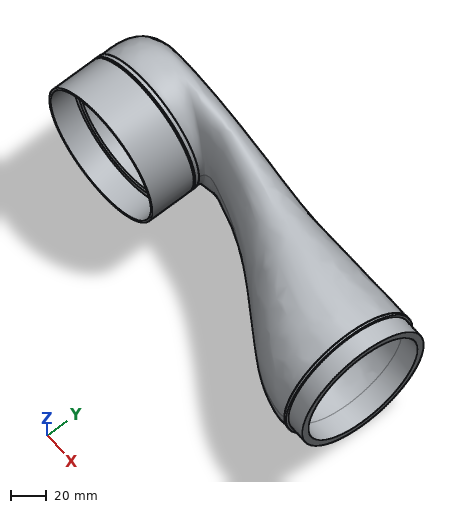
import cadquery as cq
import math


sleeve_radius = 46.0
sleeve_length = 30.2
socket_radius = 44.5
socket_depth = 16.5
bore_radius = 39.5
bore_chamfer = 1.0
bore_chamfer_angle = 45
groove_width = 1.0
groove_depth = 0.5
collar_length = 2.8

overall_length = 254
spigot_length = 12.2
spigot_radius = 44.2
ring_width = 1.8
ring_radius = 46.0
outlet_axis_y = 20.5

body_radius = 45.5
wall = body_radius - bore_radius

groove_end_y = sleeve_length + groove_width
body_start_y = groove_end_y + collar_length
outlet_end_x = overall_length - sleeve_radius
ring_end_x = outlet_end_x - spigot_length
ring_start_x = ring_end_x - ring_width

throat_rise = 8.5

inlet_section = ((body_radius, body_start_y), (-body_radius, body_start_y), body_radius)
bend_sections = [
    ((45.7, 36.0), (-44.5, 52.8), 45.0),
    ((46.2, 37.0), (-36.3, 64.5), 43.7),
    ((47.0, 37.8), (-10.2, 69.3), 43.0),
    ((48.3, 38.4), (20.3, 69.0), 41.1),
]
neck_sections = [
    ((54.5, 38.0), (54.5, 67.5), 38.4),
    ((76.2, 31.5), (76.2, 66.5), 36.5),
    ((101.5, 19.8), (101.5, 65.0), 36.5),
    ((127.0, 4.3), (127.0, 64.8), 40.1),
    ((152.5, -12.0), (152.5, 65.5), 43.7),
    ((172.7, -21.8), (172.7, 66.0), 45.0),
]
outlet_section = (
    (ring_start_x, outlet_axis_y - body_radius),
    (ring_start_x, outlet_axis_y + body_radius),
    body_radius,
)
outer_sections = [inlet_section, *bend_sections, *neck_sections, outlet_section]


def inset_section(section):
    """Duct section moved inward by the wall on every side."""
    (near_x, near_y), (far_x, far_y), half_height = section
    span = math.hypot(far_x - near_x, far_y - near_y)
    step_x = wall * (far_x - near_x) / span
    step_y = wall * (far_y - near_y) / span
    return (near_x + step_x, near_y + step_y), (far_x - step_x, far_y - step_y), half_height - wall


def throat_section(section):
    """Bend section inset by the wall, with its inner-bend end moved to the throat."""
    near_x, near_y = section[0]
    _, inset_far, inset_height = inset_section(section)
    return (near_x - wall, near_y + throat_rise), inset_far, inset_height


inner_sections = [
    inset_section(inlet_section),
    *[throat_section(section) for section in bend_sections],
    *[inset_section(section) for section in neck_sections],
    inset_section(outlet_section),
]


def half_section_wire(section):
    """Closed outline of the upper half of one elliptical duct section."""
    (near_x, near_y), (far_x, far_y), half_height = section
    half_span = math.hypot(far_x - near_x, far_y - near_y) / 2
    center = cq.Vector((near_x + far_x) / 2, (near_y + far_y) / 2, 0)
    across = cq.Vector(near_x - far_x, near_y - far_y, 0)
    normal = cq.Vector(0, 0, 1).cross(across)
    plane = cq.Workplane(cq.Plane(origin=center, xDir=across, normal=normal))
    arc = plane.moveTo(half_span, 0).ellipseArc(half_span, half_height, 0, 180, startAtCurrent=True)
    return arc.close().wires().val()


def duct(sections):
    """Solid that blends smoothly through the duct sections, in two mirrored halves."""
    wires = [half_section_wire(section) for section in sections]
    upper_half = cq.Workplane(cq.Solid.makeLoft(wires))
    return upper_half.union(upper_half.mirror("XY"))


def inlet_cylinder(radius, start_y, end_y):
    """Cylinder on the inlet axis."""
    return cq.Workplane("XZ", origin=(0, start_y, 0)).circle(radius).extrude(start_y - end_y)


def outlet_cylinder(radius, start_x, end_x):
    """Cylinder on the outlet axis."""
    plane = cq.Workplane("YZ", origin=(start_x, outlet_axis_y, 0))
    return plane.circle(radius).extrude(end_x - start_x)


def outer_body():
    """Duct with the inlet sleeve, its groove and collar, the outlet ring and the spigot."""
    sleeve = inlet_cylinder(sleeve_radius, 0, sleeve_length)
    groove = inlet_cylinder(sleeve_radius - groove_depth, sleeve_length, groove_end_y)
    collar = inlet_cylinder(sleeve_radius, groove_end_y, body_start_y)
    ring = outlet_cylinder(ring_radius, ring_start_x, ring_end_x)
    spigot = outlet_cylinder(spigot_radius, ring_end_x, outlet_end_x)
    return duct(outer_sections).union(groove).union(sleeve).union(collar).union(ring).union(spigot)


def passage():
    """Hollow through the part: socket, chamfered bore, duct interior and outlet bore."""
    socket = inlet_cylinder(socket_radius, 0, socket_depth)
    bore = inlet_cylinder(bore_radius, socket_depth, body_start_y)
    outlet_bore = outlet_cylinder(bore_radius, ring_start_x, outlet_end_x)
    chamfer_base = cq.Workplane("XZ", origin=(0, socket_depth, 0)).circle(bore_radius + bore_chamfer)
    chamfer = chamfer_base.extrude(-bore_chamfer, taper=bore_chamfer_angle)
    return duct(inner_sections).union(bore).union(chamfer).union(socket).union(outlet_bore)


result = outer_body().cut(passage())